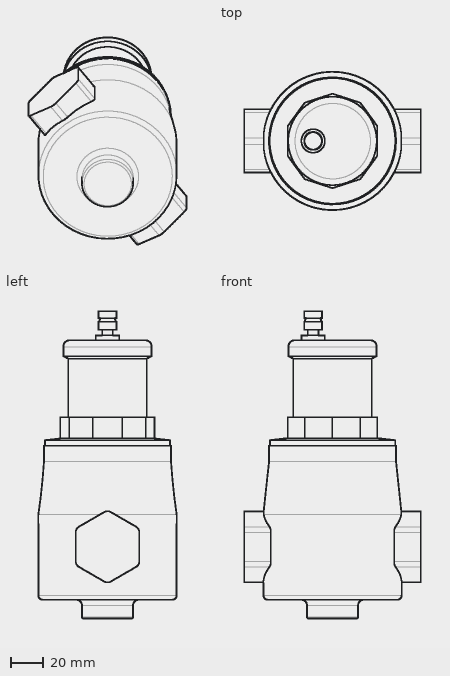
import math

import cadquery as cq

BODY_BOTTOM_Z = 11.6
PORT_AXIS_Z = 44.5
TAPER_BOTTOM_Z = 64.6
TAPER_TOP_Z = 97.4
COLLAR_TOP_Z = 107.2
COVER_EDGE_Z = 110.6
COVER_TOP_Z = 112.3
NUT_TOP_Z = 124.9
CAP_BOTTOM_Z = 161.1
CAP_TOP_Z = 172.6
FLANGE_TOP_Z = 175.6
KNOB_BOTTOM_Z = 179.0
GROOVE_BOTTOM_Z = 184.1
GROOVE_TOP_Z = 186.3
TOTAL_HEIGHT = 190.5

BODY_RADIUS = 42.92
BODY_EDGE_FILLET = 2.9
COLLAR_RADIUS = 39.45
COVER_RADIUS = 38.9

SPIGOT_RADIUS = 15.95
SPIGOT_ROOT_FILLET = 3.2
SPIGOT_EDGE_FILLET = 1.3

PORT_SPAN = 109.54
PORT_ACROSS_FLATS = 39.3
PORT_EDGE_FILLET = 4.0

NUT_SIDES = 10
NUT_ACROSS_FLATS = 55.7

HOUSING_RADIUS = 24.4
CAP_RADIUS = 27.4
CAP_EDGE_FILLET = 4.0
CAP_UNDERSIDE_RISE = 1.6

KNOB_OFFSET_X = -12.0
FLANGE_RADIUS = 7.3
STEM_RADIUS = 3.4
KNOB_RADIUS = 5.6
GROOVE_TOP_RADIUS = 4.5
GROOVE_BOTTOM_RADIUS = 5.3


def polygon_circumdiameter(across_flats, sides):
    return across_flats / math.cos(math.pi / sides)


def fillet_inset(radius):
    """Distance, along each side, from a square corner to the middle of its fillet arc."""
    return radius * (1 - math.sqrt(0.5))


def revolve_about_z(profile):
    """Turn a closed radius-height profile, drawn in XZ, about the Z axis."""
    return profile.close().revolve(360, (0, 0, 0), (0, 1, 0))


def make_body():
    """Spigot, cylindrical body, tapered shoulder, collar and sloping cover."""
    root_inset = fillet_inset(SPIGOT_ROOT_FILLET)
    edge_inset = fillet_inset(BODY_EDGE_FILLET)
    tip_inset = fillet_inset(SPIGOT_EDGE_FILLET)
    profile = (
        cq.Workplane("XZ")
        .moveTo(0, 0)
        .lineTo(SPIGOT_RADIUS - SPIGOT_EDGE_FILLET, 0)
        .threePointArc((SPIGOT_RADIUS - tip_inset, tip_inset), (SPIGOT_RADIUS, SPIGOT_EDGE_FILLET))
        .lineTo(SPIGOT_RADIUS, BODY_BOTTOM_Z - SPIGOT_ROOT_FILLET)
        .threePointArc(
            (SPIGOT_RADIUS + root_inset, BODY_BOTTOM_Z - root_inset),
            (SPIGOT_RADIUS + SPIGOT_ROOT_FILLET, BODY_BOTTOM_Z),
        )
        .lineTo(BODY_RADIUS - BODY_EDGE_FILLET, BODY_BOTTOM_Z)
        .threePointArc(
            (BODY_RADIUS - edge_inset, BODY_BOTTOM_Z + edge_inset),
            (BODY_RADIUS, BODY_BOTTOM_Z + BODY_EDGE_FILLET),
        )
        .lineTo(BODY_RADIUS, TAPER_BOTTOM_Z)
        .lineTo(COLLAR_RADIUS, TAPER_TOP_Z)
        .lineTo(COLLAR_RADIUS, COLLAR_TOP_Z)
        .lineTo(COVER_RADIUS, COLLAR_TOP_Z)
        .lineTo(COVER_RADIUS, COVER_EDGE_Z)
        .lineTo(HOUSING_RADIUS, COVER_TOP_Z)
        .lineTo(0, COVER_TOP_Z)
    )
    return revolve_about_z(profile)


def make_ports():
    """One hexagonal bar through the body forms both ports; its corners point up and down."""
    return (
        cq.Workplane("YZ", origin=(-PORT_SPAN / 2, 0, PORT_AXIS_Z))
        .transformed(rotate=(0, 0, 90))
        .polygon(6, polygon_circumdiameter(PORT_ACROSS_FLATS, 6))
        .extrude(PORT_SPAN)
        .edges("|X")
        .fillet(PORT_EDGE_FILLET)
    )


def make_nut():
    """Decagon with a corner on the Y axis, sunk to the rim of the sloping cover."""
    return (
        cq.Workplane("XY", origin=(0, 0, COVER_EDGE_Z))
        .transformed(rotate=(0, 0, 90))
        .polygon(NUT_SIDES, polygon_circumdiameter(NUT_ACROSS_FLATS, NUT_SIDES))
        .extrude(NUT_TOP_Z - COVER_EDGE_Z)
    )


def make_housing():
    """Cylindrical housing with its cap, bevelled underneath and rounded on top."""
    inset = fillet_inset(CAP_EDGE_FILLET)
    profile = (
        cq.Workplane("XZ")
        .moveTo(0, COVER_TOP_Z)
        .lineTo(HOUSING_RADIUS, COVER_TOP_Z)
        .lineTo(HOUSING_RADIUS, CAP_BOTTOM_Z)
        .lineTo(CAP_RADIUS, CAP_BOTTOM_Z + CAP_UNDERSIDE_RISE)
        .lineTo(CAP_RADIUS, CAP_TOP_Z - CAP_EDGE_FILLET)
        .threePointArc((CAP_RADIUS - inset, CAP_TOP_Z - inset), (CAP_RADIUS - CAP_EDGE_FILLET, CAP_TOP_Z))
        .lineTo(0, CAP_TOP_Z)
    )
    return revolve_about_z(profile)


def make_vent_knob():
    """Flange, stem and grooved knob, with the flange sunk into the cap."""
    flange_bottom_z = CAP_TOP_Z - CAP_EDGE_FILLET
    profile = (
        cq.Workplane("XZ")
        .moveTo(0, flange_bottom_z)
        .lineTo(FLANGE_RADIUS, flange_bottom_z)
        .lineTo(FLANGE_RADIUS, FLANGE_TOP_Z)
        .lineTo(STEM_RADIUS, FLANGE_TOP_Z)
        .lineTo(STEM_RADIUS, KNOB_BOTTOM_Z)
        .lineTo(KNOB_RADIUS, KNOB_BOTTOM_Z)
        .lineTo(KNOB_RADIUS, GROOVE_BOTTOM_Z)
        .lineTo(GROOVE_BOTTOM_RADIUS, GROOVE_BOTTOM_Z)
        .lineTo(GROOVE_TOP_RADIUS, GROOVE_TOP_Z)
        .lineTo(KNOB_RADIUS, GROOVE_TOP_Z)
        .lineTo(KNOB_RADIUS, TOTAL_HEIGHT)
        .lineTo(0, TOTAL_HEIGHT)
    )
    return revolve_about_z(profile).translate((KNOB_OFFSET_X, 0, 0))


result = make_body().union(make_ports()).union(make_nut()).union(make_housing()).union(make_vent_knob())